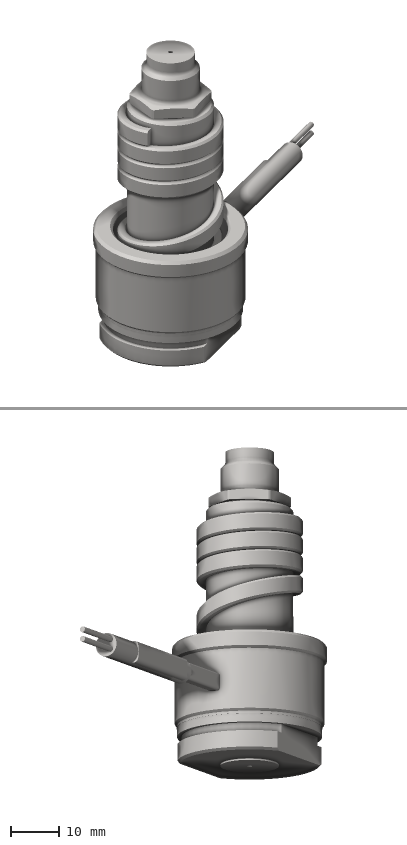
import cadquery as cq
import math

BASE_PAD_Z = 0.3
BASE_GROOVE_Z = 4.3
COLLAR_Z = 6.1
CAP_LIP_Z = 7.9
CAP_Z = 8.4
CAP_FLANGE_Z = 22.1
CAP_TOP_Z = 25.5
BARREL_TOP_Z = 54.2
NUT_Z = 54.7
NECK_Z = 58.0
NECK_TOP_Z = 62.65
TOTAL_HEIGHT = 66.2

BASE_PAD_RADIUS = 6.0
BASE_RADIUS = 15.0
BASE_GROOVE_RADIUS = 14.0
CAP_LIP_RADIUS = 15.05
CAP_RADIUS = 15.5
FLANGE_RADIUS = 16.0
BARREL_RADIUS = 9.0
UNDERCUT_RADIUS = 7.0
NECK_RADIUS = 6.0
TIP_RADIUS = 5.0
EDGE_CHAMFER = 0.5
RIM_CHAMFER = 0.6
BASE_FLAT_X = 12.0

RECESS_RADIUS = 11.9
RECESS_FLOOR_Z = 8.8
AXIAL_HOLE_RADIUS = 0.5

NUT_ACROSS_FLATS = 15.0
NUT_CORNER_RADIUS = 8.5
NUT_CONE_ANGLE = math.radians(15)
NECK_FILLET = 0.81
TIP_FILLET = 1.1
TIP_CONE_ANGLE = math.radians(45)

BAND_RADIUS = 11.0
BAND_HEIGHT = 3.7
BAND_CHAMFER = 0.4
BAND_ROOT_OVERLAP = 0.1
BAND_ROOT_RADIUS = BARREL_RADIUS - BAND_ROOT_OVERLAP
BAND_PITCH = 3.9
BAND_START_Z = 51.0
BAND_END_ANGLE = 270
BAND_CLOSED_SWEEP = 3 * 360 + 17
BAND_STRETCH_SWEEP = 405
BAND_STRETCH = 11.5
BAND_STEPS = 96

CABLE_Z = 14.7
CABLE_X = -0.8
CABLE_WIDTH = 2.55
CABLE_HEIGHT = 3.65
CABLE_CORNER = 0.6
CABLE_START_Y = 14.0
SLEEVE_RADIUS = 2.5
SLEEVE_START_Y = 27.45
SLEEVE_END_Y = 57.7
PAD_START_Y = 29.1
PAD_END_Y = 49.0
PAD_HEIGHT = 4.5
PAD_CORNER = 0.9
WIRE_RADIUS = 0.6
WIRE_X = -1.0
WIRE_SPACING = 2.0
TOTAL_LENGTH = 85
WIRE_END_Y = TOTAL_LENGTH - FLANGE_RADIUS


def make_body():
    """Base, cap and barrel turned as one outline."""
    bevel = EDGE_CHAMFER
    outline = (
        cq.Workplane("XZ")
        .lineTo(BASE_PAD_RADIUS, 0)
        .lineTo(BASE_PAD_RADIUS, BASE_PAD_Z)
        .lineTo(BASE_RADIUS - bevel, BASE_PAD_Z)
        .lineTo(BASE_RADIUS, BASE_PAD_Z + bevel)
        .lineTo(BASE_RADIUS, BASE_GROOVE_Z)
        .lineTo(BASE_GROOVE_RADIUS, BASE_GROOVE_Z)
        .lineTo(BASE_GROOVE_RADIUS, COLLAR_Z)
        .lineTo(BASE_RADIUS, COLLAR_Z)
        .lineTo(BASE_RADIUS, CAP_LIP_Z)
        .lineTo(CAP_LIP_RADIUS, CAP_LIP_Z)
        .lineTo(CAP_LIP_RADIUS, CAP_Z)
        .lineTo(CAP_RADIUS, CAP_Z + bevel)
        .lineTo(CAP_RADIUS, CAP_FLANGE_Z - bevel)
        .lineTo(FLANGE_RADIUS, CAP_FLANGE_Z)
        .lineTo(FLANGE_RADIUS, CAP_TOP_Z - RIM_CHAMFER)
        .lineTo(FLANGE_RADIUS - RIM_CHAMFER, CAP_TOP_Z)
        .lineTo(RECESS_RADIUS + RIM_CHAMFER, CAP_TOP_Z)
        .lineTo(RECESS_RADIUS, CAP_TOP_Z - RIM_CHAMFER)
        .lineTo(RECESS_RADIUS, RECESS_FLOOR_Z)
        .lineTo(BARREL_RADIUS, RECESS_FLOOR_Z)
        .lineTo(BARREL_RADIUS, BARREL_TOP_Z - bevel)
        .lineTo(BARREL_RADIUS - bevel, BARREL_TOP_Z)
        .lineTo(UNDERCUT_RADIUS, BARREL_TOP_Z)
        .lineTo(UNDERCUT_RADIUS, NUT_Z)
        .lineTo(0, NUT_Z)
        .close()
    )
    body = outline.revolve(360, (0, 0, 0), (0, 1, 0))
    side = 2 * BASE_RADIUS
    for direction in (-1, 1):
        flat_cutter = cq.Workplane("XY").box(side, 2 * side, COLLAR_Z, centered=(True, True, False))
        body = body.cut(flat_cutter.translate((direction * (BASE_FLAT_X + side / 2), 0, 0)))
    return body


def make_nut_and_tip():
    """Chamfered hexagon nut with the filleted neck and tip above it."""
    nut_fillet_turn = math.pi / 2 - NUT_CONE_ANGLE
    nut_cone_radius = NECK_RADIUS + NECK_FILLET * (1 - math.cos(nut_fillet_turn))
    nut_cone_z = NECK_Z - NECK_FILLET * math.sin(nut_fillet_turn)
    nut_edge_z = nut_cone_z - (NUT_CORNER_RADIUS - nut_cone_radius) * math.tan(NUT_CONE_ANGLE)
    tip_cone_radius = TIP_RADIUS + TIP_FILLET * (1 - math.cos(TIP_CONE_ANGLE))
    tip_cone_z = NECK_TOP_Z + (NECK_RADIUS - tip_cone_radius) / math.tan(TIP_CONE_ANGLE)
    tip_z = tip_cone_z + TIP_FILLET * math.sin(TIP_CONE_ANGLE)
    blank = (
        cq.Workplane("XZ")
        .moveTo(0, NUT_Z)
        .lineTo(0, TOTAL_HEIGHT)
        .lineTo(TIP_RADIUS, TOTAL_HEIGHT)
        .lineTo(TIP_RADIUS, tip_z)
        .tangentArcPoint((tip_cone_radius, tip_cone_z), relative=False)
        .lineTo(NECK_RADIUS, NECK_TOP_Z)
        .lineTo(NECK_RADIUS, NECK_Z)
        .tangentArcPoint((nut_cone_radius, nut_cone_z), relative=False)
        .lineTo(NUT_CORNER_RADIUS, nut_edge_z)
        .lineTo(NUT_CORNER_RADIUS, NUT_Z)
        .close()
        .revolve(360, (0, 0, 0), (0, 1, 0))
    )
    hexagon = (
        cq.Workplane("XY", origin=(0, 0, NUT_Z))
        .transformed(rotate=(0, 0, 90))
        .polygon(6, NUT_ACROSS_FLATS / math.cos(math.pi / 6))
        .extrude(TOTAL_HEIGHT - NUT_Z)
    )
    return blank.intersect(hexagon)


def band_centre_z(turned):
    """Height of the band's mid-line after winding down by `turned` degrees."""
    progress = (turned - BAND_CLOSED_SWEEP) / BAND_STRETCH_SWEEP
    progress = min(max(progress, 0), 1)
    stretched = BAND_STRETCH * progress**2 * (3 - 2 * progress)
    return BAND_START_Z - BAND_PITCH * turned / 360 - stretched


def make_band():
    """Right-handed band with a chamfered section, skinned between its corner curves."""
    half = BAND_HEIGHT / 2
    edge = half - BAND_CHAMFER
    section = [
        (BAND_ROOT_RADIUS, -edge),
        (BAND_ROOT_RADIUS + BAND_CHAMFER, -half),
        (BAND_RADIUS - BAND_CHAMFER, -half),
        (BAND_RADIUS, -edge),
        (BAND_RADIUS, edge),
        (BAND_RADIUS - BAND_CHAMFER, half),
        (BAND_ROOT_RADIUS + BAND_CHAMFER, half),
        (BAND_ROOT_RADIUS, edge),
    ]
    total_sweep = 2 * BAND_CLOSED_SWEEP + BAND_STRETCH_SWEEP

    def corner_point(radius, rise, turned):
        angle = math.radians(BAND_END_ANGLE - turned)
        z = band_centre_z(turned) + rise
        return cq.Vector(radius * math.cos(angle), radius * math.sin(angle), z)

    turns = [total_sweep * step / BAND_STEPS for step in range(BAND_STEPS + 1)]
    curves = []
    for radius, rise in section:
        points = [corner_point(radius, rise, turned) for turned in turns]
        curves.append(cq.Edge.makeSpline(points))

    following = curves[1:] + curves[:1]
    faces = [cq.Face.makeRuledSurface(one, other) for one, other in zip(curves, following)]
    for turned in (0, total_sweep):
        corners = [corner_point(radius, rise, turned) for radius, rise in section]
        faces.append(cq.Face.makeFromWires(cq.Wire.makePolygon(corners, close=True)))
    solid = cq.Solid.makeSolid(cq.Shell.makeShell(faces)).fix()
    return cq.Workplane(solid)


def along_y(x, start_y):
    """Workplane facing -Y at the cable height, so negative extrusions run outward along +Y."""
    return cq.Workplane("XZ", origin=(x, start_y, CABLE_Z))


def make_cable():
    """Flat cable leaving the cap, its padded sleeve and the two bare wires."""
    cable = (
        along_y(CABLE_X, CABLE_START_Y)
        .rect(CABLE_WIDTH, CABLE_HEIGHT)
        .extrude(CABLE_START_Y - SLEEVE_START_Y)
        .edges("|Y")
        .fillet(CABLE_CORNER)
    )
    sleeve = along_y(0, SLEEVE_START_Y).circle(SLEEVE_RADIUS).extrude(SLEEVE_START_Y - SLEEVE_END_Y)
    pad = (
        along_y(-SLEEVE_RADIUS / 2, PAD_START_Y)
        .rect(SLEEVE_RADIUS, PAD_HEIGHT)
        .extrude(PAD_START_Y - PAD_END_Y)
        .edges("|Y and <X")
        .fillet(PAD_CORNER)
    )
    wires = (
        along_y(WIRE_X, SLEEVE_END_Y)
        .pushPoints([(0, -WIRE_SPACING / 2), (0, WIRE_SPACING / 2)])
        .circle(WIRE_RADIUS)
        .extrude(SLEEVE_END_Y - WIRE_END_Y)
    )
    return cable.union(sleeve).union(pad).union(wires)


axial_hole = cq.Workplane("XY").circle(AXIAL_HOLE_RADIUS).extrude(TOTAL_HEIGHT)

result = (
    make_body()
    .union(make_nut_and_tip())
    .union(make_band())
    .union(make_cable())
    .cut(axial_hole)
)